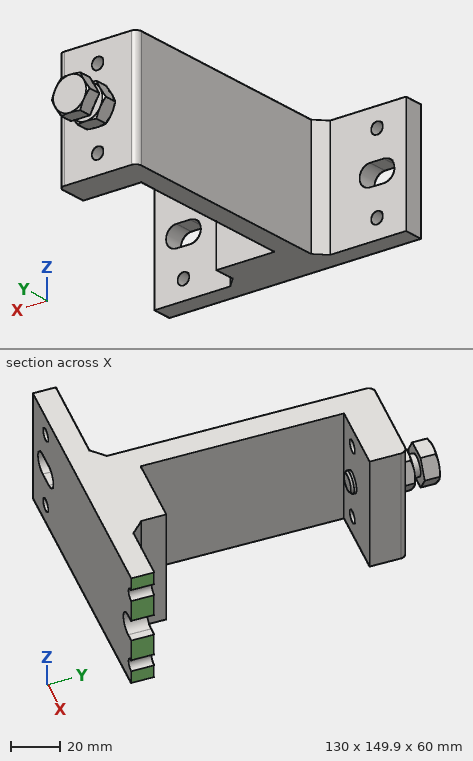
import cadquery as cq
import math

total_length = 149.9
height = 60.0
base_width = 130.0
base_thickness = 10.0
body_width = 40.5
web_thickness = 10.5
gusset = 5.5
block_top = 26.4
arm_thickness = 16.5
arm_fillet = 3.0

hole_diameter = 6.0
hole_spacing_x = 100.0
hole_spacing_z = 40.0
slot_length = 18.0
slot_width = 11.0

bolt_diameter = 10.0
hex_flats = 17.0
head_height = 7.2
nut_height = 7.8
hex_chamfer_angle = 30.0
nut_gap = 3.6
bolt_tip = 2.1
tip_chamfer = 1.0

half_base = base_width / 2
half_body = body_width / 2
web_inner = -half_body + web_thickness
arm_top = total_length - head_height - nut_gap - nut_height
arm_bottom = arm_top - arm_thickness
hex_corners = hex_flats / math.cos(math.radians(30))


def xz_plane(y):
    """XZ workplane at height y, facing +Y; its local X is the part's X."""
    return cq.Workplane(cq.Plane(origin=(0, y, 0), xDir=(1, 0, 0), normal=(0, 1, 0)))


def make_bracket():
    profile = [
        (-half_base, 0),
        (half_base, 0),
        (half_base, base_thickness),
        (half_body + gusset, base_thickness),
        (half_body, base_thickness + gusset),
        (half_body, block_top),
        (web_inner, block_top),
        (web_inner, arm_bottom),
        (half_body, arm_bottom),
        (half_body, arm_top),
        (-half_body, arm_top),
        (-half_body, base_thickness + gusset),
        (-half_body - gusset, base_thickness),
        (-half_base, base_thickness),
    ]
    body = cq.Workplane("XY").polyline(profile).close().extrude(height / 2, both=True)
    return body.faces(">Y").edges("|Z").fillet(arm_fillet)


def make_base_holes():
    holes = (
        xz_plane(0)
        .rarray(hole_spacing_x, hole_spacing_z, 2, 2)
        .circle(hole_diameter / 2)
        .extrude(base_thickness)
    )
    slots = (
        xz_plane(0)
        .rarray(hole_spacing_x, 1.5, 2, 1)
        .slot2D(slot_length, slot_width)
        .extrude(base_thickness)
    )
    return holes.union(slots)


def make_hex(y, hex_height, chamfer_bottom):
    """Hexagon with corners on the X axis, its corners turned off conically at the ends."""
    hexagon = xz_plane(y).polygon(6, hex_corners).extrude(hex_height)
    corner_radius = hex_corners / 2
    flat_radius = hex_flats / 2
    drop = (corner_radius - flat_radius) * math.tan(math.radians(hex_chamfer_angle))
    top = y + hex_height
    outline = [(0, y)]
    if chamfer_bottom:
        outline += [(flat_radius, y), (corner_radius, y + drop)]
    else:
        outline += [(corner_radius, y)]
    outline += [(corner_radius, top - drop), (flat_radius, top), (0, top)]
    turned = cq.Workplane("XY").polyline(outline).close().revolve(360, (0, 0, 0), (0, 1, 0))
    return hexagon.intersect(turned)


def make_arm_holes():
    return (
        xz_plane(arm_bottom)
        .rarray(1.5, hole_spacing_z, 1, 2)
        .circle(hole_diameter / 2)
        .extrude(arm_thickness)
    )


def make_bolt():
    tip_y = arm_bottom - bolt_tip
    head_y = total_length - head_height
    shank = xz_plane(tip_y).circle(bolt_diameter / 2).extrude(head_y - tip_y)
    shank = shank.faces("<Y").chamfer(tip_chamfer)
    head = make_hex(head_y, head_height, chamfer_bottom=False)
    nut = make_hex(arm_top, nut_height, chamfer_bottom=True)
    return shank.union(head).union(nut)


result = make_bracket().cut(make_base_holes()).cut(make_arm_holes()).union(make_bolt())